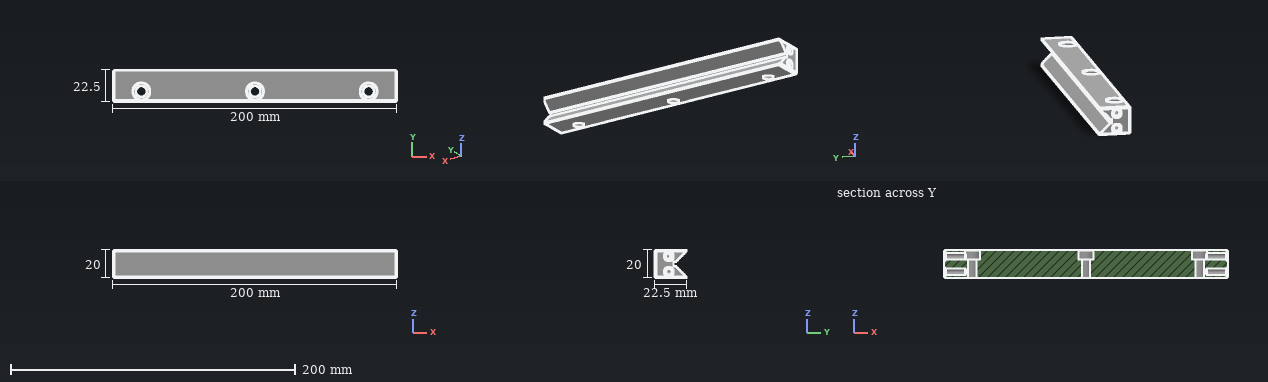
import cadquery as cq
import math

length = 200.0
width = 22.5
height = 20.0
edge_chamfer = 1.2

lip_thickness = 1.0
relief_height = 3.0
groove_depth = 9.0

mount_pitch = 80.0
mount_count = 3
mount_from_front = 7.5
mount_diameter = 7.5
counterbore_diameter = 11.5
counterbore_depth = 6.8
counterbore_chamfer = 0.5

end_hole_diameter = 4.2
end_hole_depth = 14.8
end_hole_from_front = 10.0
end_hole_spacing = 11.0
drill_tip_angle = 118.0
countersink_diameter = 6.8
countersink_angle = 90.0

front_y = -width / 2
back_y = width / 2
top_z = height / 2


def make_bar():
    """Rectangular bar with chamfers on all edges except the two long ones of the +Y face."""
    bar = cq.Workplane("XY").box(length, width, height)
    front_and_end_edges = bar.edges("<Y or |Y or |Z")
    return front_and_end_edges.chamfer(edge_chamfer)


def make_groove():
    """Full-length V-groove and relief slot, cut in from the +Y face."""
    mouth_half = height / 2 - lip_thickness
    relief_half = relief_height / 2
    flank_end_y = back_y - (mouth_half - relief_half)
    root_y = back_y - groove_depth
    return (
        cq.Workplane("YZ")
        .polyline([
            (back_y, mouth_half),
            (flank_end_y, relief_half),
            (root_y, relief_half),
            (root_y, -relief_half),
            (flank_end_y, -relief_half),
            (back_y, -mouth_half),
        ])
        .close()
        .extrude(length / 2, both=True)
    )


def make_mount_hole(x):
    """Through hole with a chamfered counterbore open at the top."""
    bore_radius = mount_diameter / 2
    counterbore_radius = counterbore_diameter / 2
    floor_z = top_z - counterbore_depth
    half_section = (
        cq.Workplane("XZ")
        .polyline([
            (0, -top_z),
            (bore_radius, -top_z),
            (bore_radius, floor_z),
            (counterbore_radius, floor_z),
            (counterbore_radius, top_z - counterbore_chamfer),
            (counterbore_radius + counterbore_chamfer, top_z),
            (0, top_z),
        ])
        .close()
    )
    cutter = half_section.revolve(360, (0, 0, 0), (0, 1, 0))
    return cutter.translate((x, front_y + mount_from_front, 0))


def make_end_hole(z):
    """Blind hole drilled along +X from the -X end."""
    radius = end_hole_diameter / 2
    mouth_radius = countersink_diameter / 2
    tip_length = radius / math.tan(math.radians(drill_tip_angle / 2))
    sink_depth = (mouth_radius - radius) / math.tan(math.radians(countersink_angle / 2))
    half_section = (
        cq.Workplane("XY")
        .polyline([
            (0, 0),
            (0, mouth_radius),
            (sink_depth, radius),
            (end_hole_depth, radius),
            (end_hole_depth + tip_length, 0),
        ])
        .close()
    )
    cutter = half_section.revolve(360, (0, 0, 0), (1, 0, 0))
    return cutter.translate((-length / 2, front_y + end_hole_from_front, z))


result = make_bar().cut(make_groove())

for index in range(mount_count):
    mount_x = (index - (mount_count - 1) / 2) * mount_pitch
    result = result.cut(make_mount_hole(mount_x))

for hole_z in (-end_hole_spacing / 2, end_hole_spacing / 2):
    end_hole = make_end_hole(hole_z)
    result = result.cut(end_hole).cut(end_hole.mirror("YZ"))